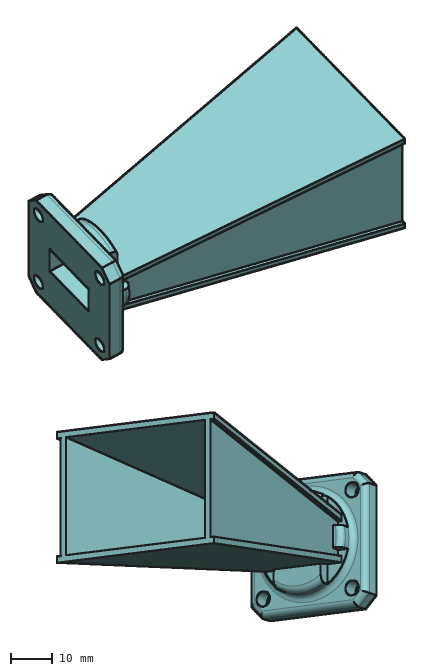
import cadquery as cq

length = 84.1
wall = 1.6

flange_side = 33.3
corner_chamfer = 3.1
flange_thickness = 3 * wall
hole_diameter = 3.7
hole_spacing_x = 25.2
hole_spacing_z = 24.2

collar_diameter = 25.4
ledge_y = flange_thickness + wall
collar_end_y = ledge_y + 2 * wall
cross_width_x = 13.4
cross_width_z = 5.5

opening_x = 15.9
opening_z = 8.0

throat_x = 21.35
throat_z = 11.8
mouth_x = 44.55
mouth_z = 32.3
lip_overhang = 1.0


def box_along_y(size_x, size_z, start_y, end_y):
    return cq.Workplane("XY").box(size_x, end_y - start_y, size_z).translate((0, (start_y + end_y) / 2, 0))


def disc_along_y(diameter, start_y, end_y):
    return cq.Workplane("XZ", origin=(0, start_y, 0)).circle(diameter / 2).extrude(start_y - end_y)


def tapered_block(start_x, start_z, start_y, end_x, end_z):
    """Rectangular frustum reaching from start_y to the mouth."""
    return (
        cq.Workplane("XZ", origin=(0, start_y, 0))
        .rect(start_x, start_z)
        .workplane(offset=start_y - length)
        .rect(end_x, end_z)
        .loft(ruled=True, combine=True)
    )


def make_flange():
    plate = box_along_y(flange_side, flange_side, 0, flange_thickness)
    plate = plate.edges("|Y").chamfer(corner_chamfer)
    return plate.faces(">Y").edges().fillet(wall)


def make_collar_base():
    """Round step that flares into the flange with a concave fillet."""
    radius = collar_diameter / 2
    root_radius = radius + wall
    bend = wall * (1 - 0.5**0.5)
    return (
        cq.Workplane("XY")
        .moveTo(0, 0)
        .lineTo(root_radius, 0)
        .lineTo(root_radius, flange_thickness)
        .threePointArc((radius + bend, flange_thickness + bend), (radius, ledge_y))
        .lineTo(0, ledge_y)
        .close()
        .revolve(360, (0, 0, 0), (0, 1, 0))
    )


def make_collar_cross():
    """Rounded collar with its four corners cut back to the ledge."""
    disc = disc_along_y(collar_diameter, ledge_y, collar_end_y).faces(">Y").edges().fillet(wall)
    upright = box_along_y(cross_width_x, collar_diameter, ledge_y, collar_end_y)
    crossbar = box_along_y(collar_diameter, cross_width_z, ledge_y, collar_end_y)
    return disc.intersect(upright.union(crossbar))


def make_horn():
    """Four plates, with the side walls set in between the top and bottom plates."""
    plates = tapered_block(throat_x, throat_z, ledge_y, mouth_x, mouth_z)
    between_x = tapered_block(throat_x, throat_z - 2 * wall, ledge_y, mouth_x, mouth_z - 2 * wall)
    side_walls = tapered_block(
        throat_x - 2 * lip_overhang,
        throat_z - 2 * wall,
        ledge_y,
        mouth_x - 2 * lip_overhang,
        mouth_z - 2 * wall,
    )
    return plates.cut(between_x).union(side_walls)


def make_waveguide():
    """Straight opening through the flange, then a flare to the mouth."""
    straight = box_along_y(opening_x, opening_z, 0, flange_thickness)
    flare = tapered_block(
        opening_x,
        opening_z,
        flange_thickness,
        mouth_x - 2 * (lip_overhang + wall),
        mouth_z - 2 * wall,
    )
    return straight.union(flare)


def make_screw_holes():
    return (
        cq.Workplane("XZ")
        .rect(hole_spacing_x, hole_spacing_z, forConstruction=True)
        .vertices()
        .circle(hole_diameter / 2)
        .extrude(-flange_thickness)
    )


base = make_flange().union(make_collar_base()).union(make_collar_cross())
result = base.union(make_horn()).cut(make_waveguide()).cut(make_screw_holes())